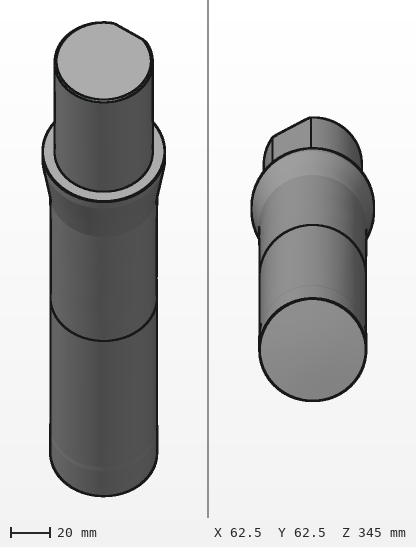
import cadquery as cq
import math

total_length = 345.0
cap_taper_z = 23.5
barrel_bottom_z = 26.5
barrel_top_z = 137.5
grip_top_z = 224.0
flare_bottom_z = 229.0
collar_bottom_z = 259.5
collar_top_z = 265.5

shank_diameter = 50.0
barrel_diameter = 54.0
cap_diameter = 54.5
collar_diameter = 62.5

shank_chamfer = 1.0
collar_chamfer = 0.5
cap_chamfer = 0.5
dome_height = 1.5

flat_offset = 22.5
flat_bottom_z = 269.8

shank_radius = shank_diameter / 2
barrel_radius = barrel_diameter / 2
cap_radius = cap_diameter / 2
collar_radius = collar_diameter / 2


def make_barrel():
    """Lower body: a plain barrel above a slightly wider cap with a chamfered, domed end."""
    dome_rim_radius = cap_radius - cap_chamfer
    dome_radius = (dome_rim_radius**2 + dome_height**2) / (2 * dome_height)
    middle_angle = math.asin(dome_rim_radius / dome_radius) / 2
    dome_middle = (
        dome_radius * math.sin(middle_angle),
        dome_radius * (1 - math.cos(middle_angle)),
    )
    profile = (
        cq.Workplane("XZ")
        .moveTo(0, 0)
        .threePointArc(dome_middle, (dome_rim_radius, dome_height))
        .lineTo(cap_radius, dome_height + cap_chamfer)
        .lineTo(cap_radius, cap_taper_z)
        .lineTo(barrel_radius, barrel_bottom_z)
        .lineTo(barrel_radius, barrel_top_z)
        .lineTo(0, barrel_top_z)
        .close()
    )
    return profile.revolve(360, (0, 0), (0, 1))


def cut_shank_flat(body):
    """Cut the flat whose lower end slopes outward at 45 degrees."""
    run_out = collar_radius - flat_offset
    cutter = (
        cq.Workplane("YZ")
        .polyline([
            (flat_offset, flat_bottom_z),
            (collar_radius, flat_bottom_z - run_out),
            (collar_radius, total_length),
            (flat_offset, total_length),
        ])
        .close()
        .extrude(shank_radius, both=True)
    )
    shank_zone = (
        cq.Workplane("XY", origin=(0, 0, collar_top_z))
        .circle(collar_radius)
        .extrude(total_length - collar_top_z)
    )
    return body.cut(cutter.intersect(shank_zone))


def make_holder():
    """Upper body: slightly tapered grip, flared collar and flattened shank."""
    profile = (
        cq.Workplane("XZ")
        .moveTo(0, barrel_top_z)
        .lineTo(barrel_radius, barrel_top_z)
        .lineTo(cap_radius, grip_top_z)
        .lineTo(cap_radius, flare_bottom_z)
        .lineTo(collar_radius, collar_bottom_z)
        .lineTo(collar_radius, collar_top_z - collar_chamfer)
        .lineTo(collar_radius - collar_chamfer, collar_top_z)
        .lineTo(shank_radius, collar_top_z)
        .lineTo(shank_radius, total_length - shank_chamfer)
        .lineTo(shank_radius - shank_chamfer, total_length)
        .lineTo(0, total_length)
        .close()
    )
    return cut_shank_flat(profile.revolve(360, (0, 0), (0, 1)))


barrel = make_barrel()
holder = make_holder()
result = cq.Compound.makeCompound([barrel.val(), holder.val()])